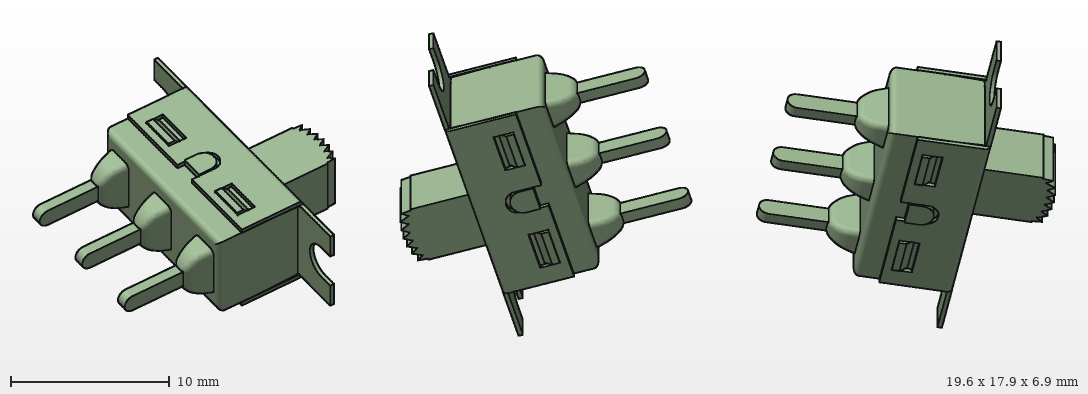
import cadquery as cq
import math

PLATE_LENGTH = 19.56
SHEET = 0.3
PLATE_HEIGHT = 6.06
BRACKET_HEIGHT = PLATE_HEIGHT + 2 * SHEET
BEND_RADIUS = 0.4
LEG_LENGTH = 12.7
LEG_END_Y = -4.7
EAR_SLOT_WIDTH = 2.55
EAR_SLOT_DEPTH = 2.27

BODY_LENGTH = 12.64
BODY_FRONT_Y = -6.44
BODY_BACK_Y = -0.4
BODY_BACK_HEIGHT = 5.87
TAPER_END_Y = -2.93
BODY_FILLET = 0.43
SPACER_LENGTH = 12.13
SPACER_HEIGHT = 5.44

RAISED_HEIGHT = 6.9
RAISED_Z = RAISED_HEIGHT / 2
RAISED_FRONT_Y = -4.15
WINDOW_SPACING = 7.63
WINDOW_LENGTH = 2.58
WINDOW_BACK_Y = -2.84
LATCH_LENGTH = 2.43
LATCH_BACK_Y = -3.15
LATCH_CREST_Y = -3.65
TONGUE_WIDTH = 1.6
NOTCH_BACK_Y = -2.13
TONGUE_BACK_Y = -2.43

KNOB_X = 1.35
KNOB_WIDTH = 3.95
KNOB_HEIGHT = 3.95
KNOB_TOP_Y = 5.05
SHOULDER_Y = 4.0
CROWN_WIDTH = 3.78
CROWN_RADIUS = 4.3
TOOTH_PITCH_DEG = 8.4
TEETH_EACH_SIDE = 3
TOOTH_DEPTH = 0.5

TOTAL_DEPTH = 17.85
PIN_PITCH = 4.71
PIN_WIDTH = 0.76
PIN_HEIGHT = 1.25
PIN_TIP_Y = KNOB_TOP_Y - TOTAL_DEPTH
BOSS_WIDTH = 2.07
BOSS_TIP_WIDTH = 1.25
BOSS_HEIGHT = 3.8
BOSS_SHOULDER_Y = -7.12
BOSS_SHOULDER_HEIGHT = 3.48
BOSS_ARC_Y = -7.92
BOSS_ARC_HEIGHT = 2.58
BOSS_TIP_Y = -8.4
BOSS_TIP_HEIGHT = 1.33
BOSS_FILLET = 0.41
BOSS_TIP_FILLET = 0.6

SIDES = (1, -1)


def box(x_center, length, y_min, y_max, z_min, z_max):
    """Box centred on x_center with the given y and z limits."""
    size = (length, y_max - y_min, z_max - z_min)
    center = (x_center, (y_min + y_max) / 2, (z_min + z_max) / 2)
    return cq.Workplane("XY").box(*size).translate(center)


def extrude_along_x(profile, length):
    """Extrude a closed YZ profile symmetrically about x = 0."""
    return profile.extrude(length / 2, both=True)


def round_backed_prism(width, y_front, y_back, height):
    """Prism through z = 0 whose +Y end is a half circle reaching y_back."""
    radius = width / 2
    return (
        cq.Workplane("XY")
        .moveTo(-radius, y_front)
        .lineTo(-radius, y_back - radius)
        .threePointArc((0, y_back), (radius, y_back - radius))
        .lineTo(radius, y_front)
        .close()
        .extrude(height / 2, both=True)
    )


def make_bracket():
    """Flat plate with slotted ears and two legs folded along the housing."""
    channel = box(0, LEG_LENGTH, LEG_END_Y, 0, -BRACKET_HEIGHT / 2, BRACKET_HEIGHT / 2)
    channel = channel.edges("|X and >Y").fillet(BEND_RADIUS)
    inside = box(0, LEG_LENGTH, LEG_END_Y, -SHEET, -PLATE_HEIGHT / 2, PLATE_HEIGHT / 2)
    inside = inside.edges("|X and >Y").fillet(BEND_RADIUS - SHEET)
    bracket = channel.cut(inside)

    ear_length = (PLATE_LENGTH - LEG_LENGTH) / 2
    slot_radius = EAR_SLOT_WIDTH / 2
    arc_center = PLATE_LENGTH / 2 - EAR_SLOT_DEPTH + slot_radius
    for side in SIDES:
        ear_x = side * (PLATE_LENGTH - ear_length) / 2
        ear = box(ear_x, ear_length, -SHEET, 0, -PLATE_HEIGHT / 2, PLATE_HEIGHT / 2)
        slot = (
            cq.Workplane("XZ")
            .center(side * (arc_center + PLATE_LENGTH / 2), 0)
            .slot2D(PLATE_LENGTH + EAR_SLOT_WIDTH, EAR_SLOT_WIDTH)
            .extrude(SHEET)
        )
        bracket = bracket.union(ear.cut(slot))

    for x in (-WINDOW_SPACING / 2, WINDOW_SPACING / 2):
        bracket = bracket.cut(
            box(x, WINDOW_LENGTH, RAISED_FRONT_Y, WINDOW_BACK_Y, -BRACKET_HEIGHT, BRACKET_HEIGHT)
        )
    notch = round_backed_prism(TONGUE_WIDTH, LEG_END_Y, NOTCH_BACK_Y, 2 * BRACKET_HEIGHT)
    return bracket.cut(notch)


def make_body():
    """Housing, slightly tapered towards the plate, on a thin spacer."""
    half = PLATE_HEIGHT / 2
    back_half = BODY_BACK_HEIGHT / 2
    profile = cq.Workplane("YZ").polyline([
        (BODY_FRONT_Y, -half),
        (TAPER_END_Y, -half),
        (BODY_BACK_Y, -back_half),
        (BODY_BACK_Y, back_half),
        (TAPER_END_Y, half),
        (BODY_FRONT_Y, half),
    ]).close()
    body = extrude_along_x(profile, BODY_LENGTH).faces("<Y").edges().fillet(BODY_FILLET)
    spacer = box(0, SPACER_LENGTH, BODY_BACK_Y, -SHEET, -SPACER_HEIGHT / 2, SPACER_HEIGHT / 2)
    return body.union(spacer)


def make_latches():
    """Ramped latches that fill the bracket windows on both broad sides."""
    half = PLATE_HEIGHT / 2
    profile = cq.Workplane("YZ").polyline([
        (RAISED_FRONT_Y, -RAISED_Z),
        (LATCH_CREST_Y, -RAISED_Z),
        (LATCH_BACK_Y, -half),
        (LATCH_BACK_Y, half),
        (LATCH_CREST_Y, RAISED_Z),
        (RAISED_FRONT_Y, RAISED_Z),
    ]).close()
    latch = extrude_along_x(profile, LATCH_LENGTH)
    left = latch.translate((-WINDOW_SPACING / 2, 0, 0))
    right = latch.translate((WINDOW_SPACING / 2, 0, 0))
    return left.union(right)


def make_knob():
    """Square slider knob with a crown of teeth on an arc."""
    arc_center_y = KNOB_TOP_Y - CROWN_RADIUS
    peaks = []
    for i in range(-TEETH_EACH_SIDE, TEETH_EACH_SIDE + 1):
        angle = math.radians(i * TOOTH_PITCH_DEG)
        peaks.append((CROWN_RADIUS * math.sin(angle), arc_center_y + CROWN_RADIUS * math.cos(angle)))

    crown = [peaks[0]]
    for (x0, y0), (x1, y1) in zip(peaks, peaks[1:]):
        crown.append(((x0 + x1) / 2, (y0 + y1) / 2 - TOOTH_DEPTH))
        crown.append((x1, y1))

    half = KNOB_WIDTH / 2
    crown_half = CROWN_WIDTH / 2
    outline = [(-half, -SHEET), (-half, SHOULDER_Y), (-crown_half, SHOULDER_Y)]
    outline += crown
    outline += [(crown_half, SHOULDER_Y), (half, SHOULDER_Y), (half, -SHEET)]
    knob = cq.Workplane("XY").polyline(outline).close().extrude(KNOB_HEIGHT / 2, both=True)
    return knob.translate((KNOB_X, 0, 0))


def make_terminal():
    """Round-tipped pin leaving the housing through a domed boss, at x = 0."""
    dome = extrude_along_x(
        cq.Workplane("YZ")
        .moveTo(BODY_FRONT_Y, BOSS_HEIGHT / 2)
        .lineTo(BOSS_SHOULDER_Y, BOSS_SHOULDER_HEIGHT / 2)
        .threePointArc((BOSS_ARC_Y, BOSS_ARC_HEIGHT / 2), (BOSS_TIP_Y, BOSS_TIP_HEIGHT / 2))
        .lineTo(BOSS_TIP_Y, -BOSS_TIP_HEIGHT / 2)
        .threePointArc((BOSS_ARC_Y, -BOSS_ARC_HEIGHT / 2), (BOSS_SHOULDER_Y, -BOSS_SHOULDER_HEIGHT / 2))
        .lineTo(BODY_FRONT_Y, -BOSS_HEIGHT / 2)
        .close(),
        BOSS_WIDTH,
    )
    wedge = (
        cq.Workplane("XY")
        .polyline([
            (-BOSS_WIDTH / 2, BODY_FRONT_Y),
            (BOSS_WIDTH / 2, BODY_FRONT_Y),
            (BOSS_TIP_WIDTH / 2, BOSS_TIP_Y),
            (-BOSS_TIP_WIDTH / 2, BOSS_TIP_Y),
        ])
        .close()
        .extrude(BOSS_HEIGHT / 2, both=True)
    )
    boss = dome.intersect(wedge)
    boss = boss.faces("<Y").edges("|Z").fillet(BOSS_TIP_FILLET)
    rim_start = BOSS_TIP_HEIGHT / 2
    rim = boss.faces("<X or >X").edges().filter(lambda e: abs(e.Center().z) > rim_start)
    boss = boss.newObject(rim.vals()).fillet(BOSS_FILLET)

    half = PIN_HEIGHT / 2
    pin = extrude_along_x(
        cq.Workplane("YZ")
        .moveTo(BODY_FRONT_Y, half)
        .lineTo(PIN_TIP_Y + half, half)
        .threePointArc((PIN_TIP_Y, 0), (PIN_TIP_Y + half, -half))
        .lineTo(BODY_FRONT_Y, -half)
        .close(),
        PIN_WIDTH,
    )
    return boss.union(pin)


result = make_body().union(make_bracket()).union(make_latches()).union(make_knob())
result = result.union(round_backed_prism(TONGUE_WIDTH, RAISED_FRONT_Y, TONGUE_BACK_Y, RAISED_HEIGHT))
terminal = make_terminal()
for i in (-1, 0, 1):
    result = result.union(terminal.translate((i * PIN_PITCH, 0, 0)))